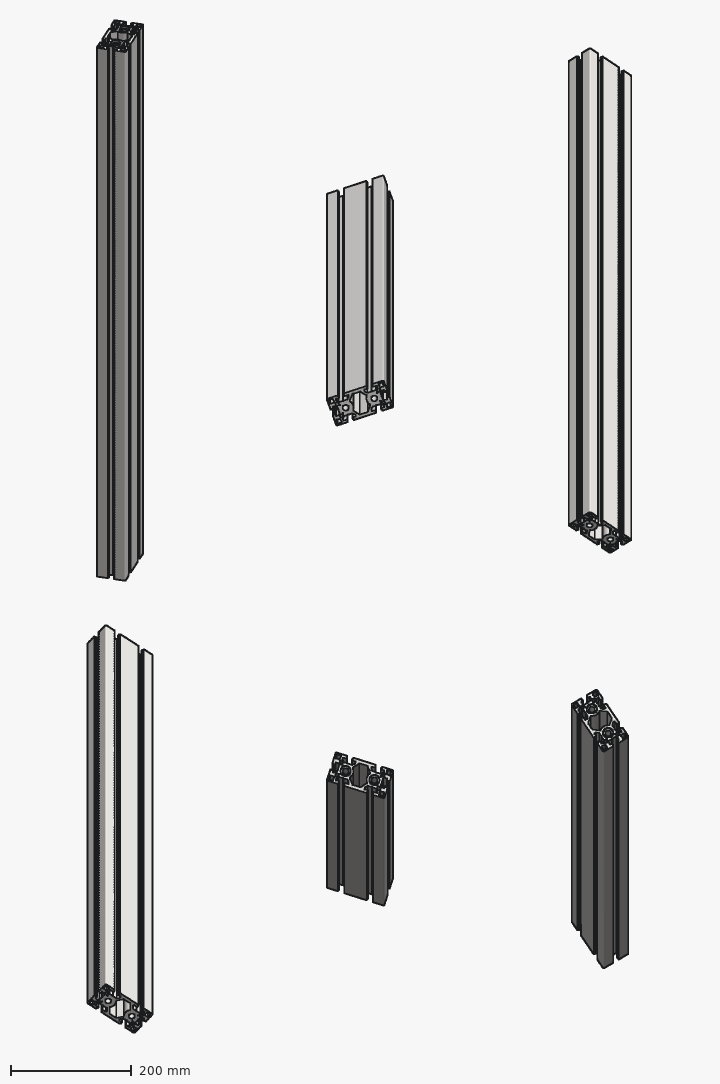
import cadquery as cq

cell = 50.0
length = 1000.0
half_cell = cell / 2
edge_radius = 2.0

mouth_width = 11.0
mouth_depth = 2.0
slot_width = 9.0
lip_depth = 5.0
slot_depth = 12.0
flare_depth = (lip_depth + slot_depth) / 2
side_slot_wide = 22.0
end_slot_wide = 17.0
slot_floor_width = 15.0
floor_groove_width = 1.0
floor_groove_depth = 0.5

core_radius = 13.0
bore_diameter = 10.0
counterbore_diameter = 17.0
counterbore_depth = 4.0

corner_outer = 22.0
corner_inner = 15.0

arm_tip = 7.0
arm_near = 10.0
arm_far = 14.0
arm_end = 14.0

chamber_half_width = 19.0
chamber_half_side = 7.0
shoulder_x = 9.0
shoulder_y = 15.0


def prism(points):
    """Full-length prism over a closed outline."""
    return cq.Workplane("XY").polyline(points).close().extrude(length)


def slot_cutter(wide):
    """T-slot open toward +X, placed in a cell centred on the origin."""
    mouth_floor = half_cell - mouth_depth
    lip_back = half_cell - lip_depth
    floor = half_cell - slot_depth
    upper = [
        (half_cell, mouth_width / 2),
        (mouth_floor, mouth_width / 2),
        (mouth_floor, slot_width / 2),
        (lip_back, slot_width / 2),
        (lip_back, wide / 2),
        (half_cell - flare_depth, wide / 2),
        (floor, slot_floor_width / 2),
        (floor, floor_groove_width / 2),
    ]
    groove_bottom = (floor - floor_groove_depth, 0)
    lower = [(x, -y) for x, y in reversed(upper)]
    return prism(upper + [groove_bottom] + lower)


def corner_cutter(side):
    """Both hollows of a +Y corner of a cell, on the side given by the sign of X."""
    square = [
        (corner_inner, corner_inner),
        (corner_outer, corner_inner),
        (corner_outer, corner_outer),
        (corner_inner, corner_outer),
    ]
    kite = [
        (arm_tip, arm_tip),
        (arm_far, arm_near),
        (arm_end, arm_end),
        (arm_near, arm_far),
    ]
    corner_hollow = prism([(side * x, y) for x, y in square])
    arm_hollow = prism([(side * x, y) for x, y in kite])
    return corner_hollow.union(arm_hollow)


def bore_cutter():
    """Through bore with a counterbore at the top end."""
    bore = cq.Workplane("XY").circle(bore_diameter / 2).extrude(length)
    counterbore = (
        cq.Workplane("XY", origin=(0, 0, length - counterbore_depth))
        .circle(counterbore_diameter / 2)
        .extrude(counterbore_depth)
    )
    return bore.union(counterbore)


def cell_cutters():
    """Everything removed from the cell at the +Y end, centred on the origin."""
    side_slot = slot_cutter(side_slot_wide)
    end_slot = slot_cutter(end_slot_wide)
    return [
        side_slot,
        side_slot.mirror("YZ"),
        end_slot.rotate((0, 0, 0), (0, 0, 1), 90),
        corner_cutter(1),
        corner_cutter(-1),
        bore_cutter(),
    ]


def chamber_cutter():
    """Bevelled chamber in the middle, leaving the round cores standing."""
    upper = [
        (chamber_half_width, chamber_half_side),
        (shoulder_x, shoulder_y),
        (-shoulder_x, shoulder_y),
        (-chamber_half_width, chamber_half_side),
    ]
    lower = [(-x, -y) for x, y in upper]
    cores = (
        cq.Workplane("XY")
        .pushPoints([(0, half_cell), (0, -half_cell)])
        .circle(core_radius)
        .extrude(length)
    )
    return prism(upper + lower).cut(cores)


result = cq.Workplane("XY").rect(cell, 2 * cell).extrude(length)
result = result.edges("|Z").fillet(edge_radius)
result = result.cut(chamber_cutter())

for cutter in cell_cutters():
    upper_cut = cutter.translate((0, half_cell, 0))
    result = result.cut(upper_cut).cut(upper_cut.mirror("XZ"))